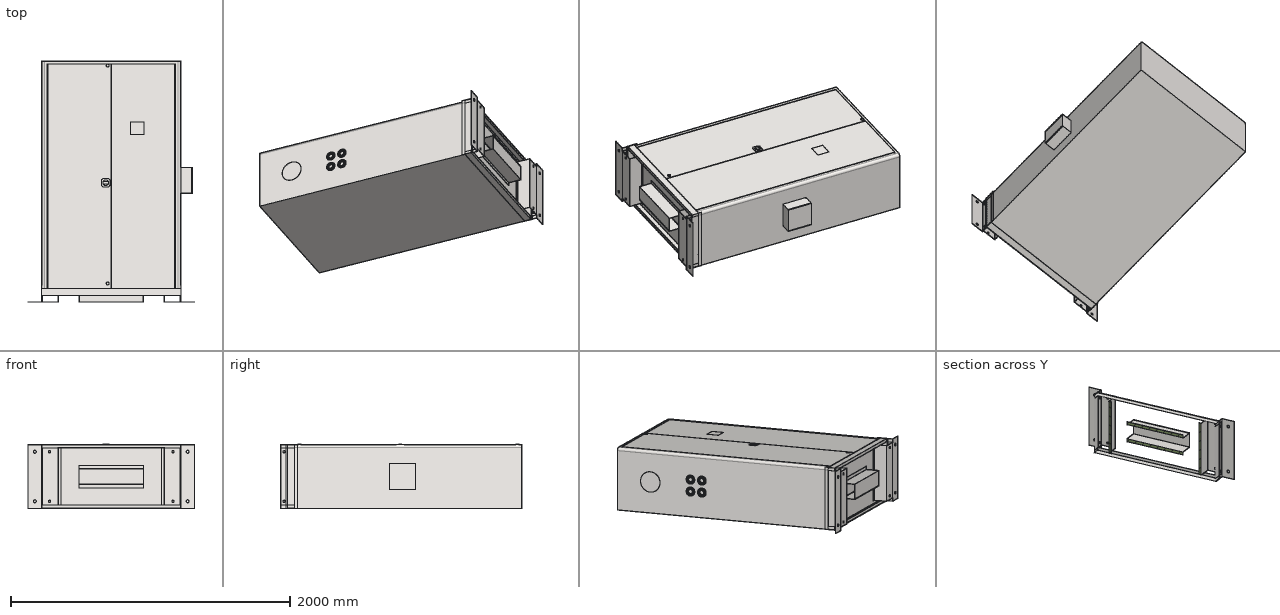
import cadquery as cq


total_length = 1727.0
total_width = 1193.0
total_height = 463.0
fitting_rise = 4.3
height = total_height - fitting_rise
mid_z = height / 2

cabinet_width = 997.0
cabinet_half_width = cabinet_width / 2
cabinet_y = 98.0
edge_radius = 20.0

door_opening_half_width = 460.0
door_opening_top = 1708.0
door_depth = 20.0
door_side_gap = 5.0
door_middle_gap = 5.0
label_width = 97.0
label_height = 88.0
label_x = 185.0
label_y = 1247.0
mark_depth = 0.9

round_entry_diameter = 150.0
round_entry_y = 1473.0
gland_centre_y = 1120.0
gland_centre_z = 230.0
gland_pitch = 88.0
gland_ring_radii = [(33.0, 28.0), (20.0, 15.0)]
gland_ring_depth = 3.0

box_reach = 85.0
box_y = 780.0
box_length = 187.0
box_height = 187.0
box_lid_thickness = 7.0
box_lid_step = 2.0

base_y = 47.0
base_sheet = 3.0
lip_height = 25.0
cheek_thickness = 3.0
cheek_start_y = 38.0
cheek_end_y = 121.0

foot_sheet = 3.0
foot_inner_x = 378.0
foot_flange_x = 360.0
flange_hole_diameter = 19.0
foot_hole_diameter = 15.0
foot_hole_x = 442.0
web_hole_y = 25.0
hole_edge_distance = 52.0
hole_heights = [hole_edge_distance, height - hole_edge_distance]

channel_width = 461.0
channel_web_height = 114.0
channel_flange_height = 22.0
channel_sheet = 3.0
channel_mid_z = 228.0

handle_x = -40.0
handle_y = 857.0
plate_width = 62.0
plate_height = 59.0
plate_corner = 10.0
plate_thickness = 0.9
knob_diameter = 40.0
knob_rise = 2.0
grip_width = 38.0
grip_height = 17.0
lock_x = -26.0
lock_radius = 10.0
lock_positions_y = [135.0, 1696.0]


def block(x_min, x_max, y_min, y_max, z_min, z_max):
    """Box between the given limits."""
    size = (x_max - x_min, y_max - y_min, z_max - z_min)
    return cq.Workplane("XY").box(*size, centered=False).translate((x_min, y_min, z_min))


def cylinder_along_x(radius, x, y, z, length):
    """Cylinder that starts at the given point and runs toward +X."""
    return cq.Workplane("YZ", origin=(x, y, z)).circle(radius).extrude(length)


def cylinder_along_y(radius, x, z, y_min, y_max):
    """Cylinder between two Y limits."""
    return cq.Workplane("XZ", origin=(x, y_min, z)).circle(radius).extrude(y_min - y_max)


def make_junction_box():
    """Box on the right wall with a slightly lower lid."""
    wall_x = cabinet_half_width
    lid_x = wall_x + box_reach - box_lid_thickness
    y_max = box_y + box_length
    half_height = box_height / 2
    lid_half_height = half_height - box_lid_step
    body = block(wall_x, lid_x, box_y, y_max, mid_z - half_height, mid_z + half_height)
    lid = block(
        lid_x, wall_x + box_reach, box_y, y_max, mid_z - lid_half_height, mid_z + lid_half_height
    )
    return body.union(lid)


def make_gland_rings(y, z):
    """Concentric ring grooves of one cable gland."""
    rings = cq.Workplane("YZ", origin=(-cabinet_half_width, 0, 0))
    for outer_radius, inner_radius in gland_ring_radii:
        rings = rings.pushPoints([(y, z)]).circle(outer_radius).circle(inner_radius)
        rings = rings.extrude(gland_ring_depth)
    return rings


def make_cabinet():
    """Cabinet with rounded long edges, a door opening, cable entries and a junction box."""
    cabinet = block(
        -cabinet_half_width, cabinet_half_width, cabinet_y, total_length, 0, height
    )
    cabinet = cabinet.edges("|Y and >Z").fillet(edge_radius)
    cabinet = cabinet.cut(
        block(
            -door_opening_half_width, door_opening_half_width,
            cabinet_y, door_opening_top,
            height - door_depth, height,
        )
    )
    cabinet = cabinet.cut(
        cylinder_along_x(
            round_entry_diameter / 2, -cabinet_half_width, round_entry_y, mid_z, mark_depth
        )
    )
    for side_y in (-1, 1):
        for side_z in (-1, 1):
            y = gland_centre_y + side_y * gland_pitch / 2
            z = gland_centre_z + side_z * gland_pitch / 2
            cabinet = cabinet.cut(make_gland_rings(y, z))
    return cabinet.union(make_junction_box())


def make_door(side):
    """Door leaf on one side (-1 left, 1 right) of the middle gap."""
    inner_x = side * door_middle_gap / 2
    outer_x = side * (door_opening_half_width - door_side_gap)
    return block(
        min(inner_x, outer_x), max(inner_x, outer_x),
        cabinet_y, door_opening_top,
        height - door_depth, height,
    )


def make_label_door():
    """Right door with the shallow seat of the label."""
    seat = cq.Workplane("XY", origin=(label_x, label_y, height))
    seat = seat.rect(label_width, label_height).extrude(-mark_depth)
    return make_door(1).cut(seat)


def make_base():
    """Top and bottom sheets with front lips, joined by a full-height cheek on each side."""
    base = cq.Workplane("XY")
    for sheet_z, lip_z in ((0, 0), (height - base_sheet, height - lip_height)):
        base = base.union(
            block(
                -cabinet_half_width, cabinet_half_width,
                base_y, cabinet_y,
                sheet_z, sheet_z + base_sheet,
            )
        )
        base = base.union(
            block(
                -cabinet_half_width, cabinet_half_width,
                base_y, base_y + base_sheet,
                lip_z, lip_z + lip_height,
            )
        )
    cheek_outer_x = cabinet_half_width + cheek_thickness
    for x_min in (-cheek_outer_x, cabinet_half_width):
        cheek = block(x_min, x_min + cheek_thickness, cheek_start_y, cheek_end_y, 0, height)
        base = base.union(cheek)
    return base


def make_foot(side):
    """Foot on one side: a full-height angle and, beside it, a lower hat that reaches the cabinet."""
    outer_x = cabinet_half_width
    web_x = outer_x - foot_sheet
    hat_outer_x = web_x - foot_sheet
    hat_z = (lip_height, height - lip_height)

    angle_web = block(web_x, outer_x, 0, base_y, 0, height)
    angle_flange = block(web_x, total_width / 2, 0, foot_sheet, 0, height)
    hat_outer_web = block(hat_outer_x, web_x, 0, cabinet_y, *hat_z)
    hat_front = block(foot_inner_x, web_x, 0, foot_sheet, *hat_z)
    hat_inner_web = block(foot_inner_x, foot_inner_x + foot_sheet, 0, cabinet_y, *hat_z)
    hat_flange = block(foot_flange_x, foot_inner_x, cabinet_y - foot_sheet, cabinet_y, *hat_z)
    foot = angle_web.union(angle_flange).union(hat_outer_web)
    foot = foot.union(hat_front).union(hat_inner_web).union(hat_flange)

    flange_hole_x = (cabinet_half_width + total_width / 2) / 2
    for z in hole_heights:
        foot = foot.cut(cylinder_along_y(flange_hole_diameter / 2, flange_hole_x, z, 0, foot_sheet))
        foot = foot.cut(cylinder_along_y(foot_hole_diameter / 2, foot_hole_x, z, 0, foot_sheet))
        foot = foot.cut(
            cylinder_along_x(foot_hole_diameter / 2, hat_outer_x, web_hole_y, z, 2 * foot_sheet)
        )
    if side < 0:
        foot = foot.mirror("YZ")
    return foot


def make_channel():
    """Hat-shaped channel on the front of the cabinet, open at both ends."""
    back_y = cabinet_y
    inner_z = channel_web_height / 2 - channel_sheet
    web_z = channel_web_height / 2
    flange_z = web_z + channel_flange_height
    flange_y = back_y - channel_sheet
    outline = [
        (0, -web_z), (flange_y, -web_z), (flange_y, -flange_z), (back_y, -flange_z),
        (back_y, -inner_z), (channel_sheet, -inner_z), (channel_sheet, inner_z), (back_y, inner_z),
        (back_y, flange_z), (flange_y, flange_z), (flange_y, web_z), (0, web_z),
    ]
    section = cq.Workplane("YZ", origin=(-channel_width / 2, 0, channel_mid_z))
    return section.polyline(outline).close().extrude(channel_width)


def make_handle():
    """Handle plate with a round knob and a grip bar across it."""
    centre = cq.Workplane("XY", origin=(handle_x, handle_y, height))
    plate = centre.rect(plate_width, plate_height).extrude(plate_thickness)
    plate = plate.edges("|Z").chamfer(plate_corner)
    knob = centre.circle(knob_diameter / 2).extrude(knob_rise)
    grip = centre.rect(grip_width, grip_height).extrude(fitting_rise)
    return plate.union(knob).union(grip)


def make_lock(y):
    """Round lock on the left door."""
    return cq.Workplane("XY", origin=(lock_x, y, height)).circle(lock_radius).extrude(fitting_rise)


cabinet = make_cabinet()
left_door = make_door(-1)
right_door = make_label_door()
base = make_base()
feet = [make_foot(side) for side in (-1, 1)]
channel = make_channel()
handle = make_handle()
locks = [make_lock(y) for y in lock_positions_y]

result = cq.Compound.makeCompound(
    [
        cabinet.val(),
        left_door.val(),
        right_door.val(),
        base.val(),
        *[foot.val() for foot in feet],
        channel.val(),
        handle.val(),
        *[lock.val() for lock in locks],
    ]
)